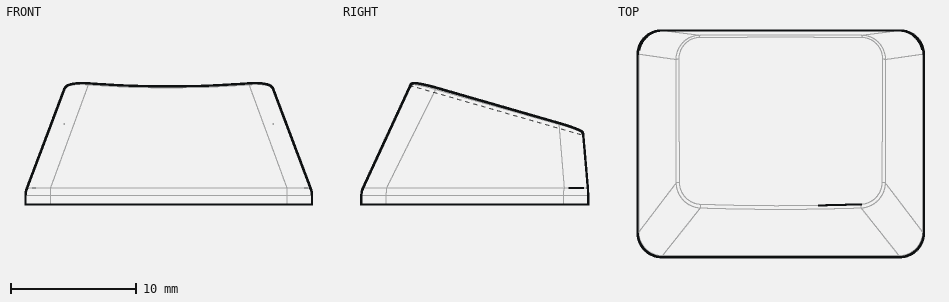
import cadquery as cq
import math

BASE_WIDTH = 22.92
BASE_DEPTH = 18.16
BASE_CORNER_RADIUS = 2.0
SKIRT_HEIGHT = 0.72

BEND_HEIGHT = 0.6
BEND_SIDE_INSET = 0.11
BEND_FRONT_INSET = 0.13
BEND_BACK_INSET = 0.025
BEND_STEPS = 2

RIM_WIDTH = 16.6
RIM_FRONT_Y = -4.97
RIM_BACK_Y = 8.65
RIM_CORNER_RADIUS = 2.0
RIM_HEIGHT_AT_ORIGIN = 8.50
RIM_TILT = math.radians(16.1)
RIM_FILLET = 0.25

DISH_RADIUS = 77.0
DISH_LENGTH_RATIO = 3

RIM_DEPTH = (RIM_BACK_Y - RIM_FRONT_Y) / math.cos(RIM_TILT)
RIM_MID_Y = (RIM_FRONT_Y + RIM_BACK_Y) / 2
RIM_MID_HEIGHT = RIM_HEIGHT_AT_ORIGIN - RIM_MID_Y * math.tan(RIM_TILT)

RIM_PLANE = cq.Plane(
    origin=(0, RIM_MID_Y, RIM_MID_HEIGHT),
    xDir=(1, 0, 0),
    normal=(0, math.sin(RIM_TILT), math.cos(RIM_TILT)),
)


def rounded_outline(plane, width, depth, radius):
    """Closed wire of a rounded rectangle centred on the plane."""
    x = width / 2
    y = depth / 2
    arc_inset = radius * (1 - math.sqrt(0.5))
    return (
        cq.Workplane(plane)
        .moveTo(radius - x, -y)
        .lineTo(x - radius, -y)
        .threePointArc((x - arc_inset, arc_inset - y), (x, radius - y))
        .lineTo(x, y - radius)
        .threePointArc((x - arc_inset, y - arc_inset), (x - radius, y))
        .lineTo(radius - x, y)
        .threePointArc((arc_inset - x, y - arc_inset), (-x, y - radius))
        .lineTo(-x, radius - y)
        .threePointArc((arc_inset - x, arc_inset - y), (radius - x, -y))
        .close()
        .val()
    )


def bend_outline(fraction):
    """Outline part way up the bend; the insets grow as a parabola, so the bend leaves the skirt upright."""
    growth = fraction**2
    front = growth * BEND_FRONT_INSET
    back = growth * BEND_BACK_INSET
    side = growth * BEND_SIDE_INSET
    centre = (0, (front - back) / 2, SKIRT_HEIGHT + fraction * BEND_HEIGHT)
    return rounded_outline(
        cq.Plane(origin=centre),
        BASE_WIDTH - 2 * side,
        BASE_DEPTH - front - back,
        BASE_CORNER_RADIUS - side,
    )


def make_skirt():
    outline = rounded_outline(cq.Plane.XY(), BASE_WIDTH, BASE_DEPTH, BASE_CORNER_RADIUS)
    return cq.Workplane().add(outline).toPending().extrude(SKIRT_HEIGHT)


def make_bend():
    outlines = [bend_outline(step / BEND_STEPS) for step in range(BEND_STEPS + 1)]
    return cq.Workplane(cq.Solid.makeLoft(outlines))


def make_walls():
    rim = rounded_outline(RIM_PLANE, RIM_WIDTH, RIM_DEPTH, RIM_CORNER_RADIUS)
    return cq.Workplane(cq.Solid.makeLoft([bend_outline(1), rim], True))


def make_dish():
    """Cylinder that meets the rim plane along the two side edges of the rim."""
    axis_height = math.sqrt(DISH_RADIUS**2 - (RIM_WIDTH / 2) ** 2)
    length = DISH_LENGTH_RATIO * RIM_DEPTH
    start = RIM_PLANE.toWorldCoords((0, -length / 2, axis_height))
    return cq.Workplane(cq.Solid.makeCylinder(DISH_RADIUS, length, start, RIM_PLANE.yDir))


def round_rim(body):
    dish_face = body.faces("%CYLINDER").faces(">Z")
    return dish_face.edges().fillet(RIM_FILLET)


body = make_skirt().union(make_bend()).union(make_walls())
body = body.cut(make_dish())
result = round_rim(body)